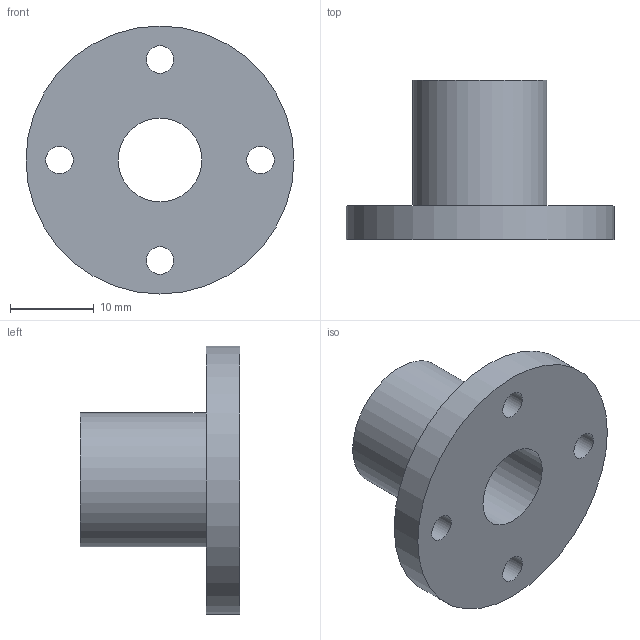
import cadquery as cq

flange_diameter = 32.0
flange_thickness = 4.0
hub_diameter = 16.0
overall_length = 19.0
bore_diameter = 10.0
bolt_hole_diameter = 3.3
bolt_circle_diameter = 24.0
bolt_hole_count = 4


def cylinder_along_y(diameter, length):
    """Cylinder on the Y axis, from the flange face at Y = 0 towards +Y."""
    return cq.Workplane("XZ").circle(diameter / 2).extrude(-length)


def flanged_hub():
    """Round flange with a smaller hub behind it on the same axis."""
    flange = cylinder_along_y(flange_diameter, flange_thickness)
    hub = cylinder_along_y(hub_diameter, overall_length)
    return flange.union(hub)


def bolt_holes():
    """Through holes for the flange, evenly spaced on the bolt circle."""
    return (
        cq.Workplane("XZ")
        .polarArray(bolt_circle_diameter / 2, 0, 360, bolt_hole_count)
        .circle(bolt_hole_diameter / 2)
        .extrude(-flange_thickness)
    )


bore = cylinder_along_y(bore_diameter, overall_length)

result = flanged_hub().cut(bore).cut(bolt_holes())